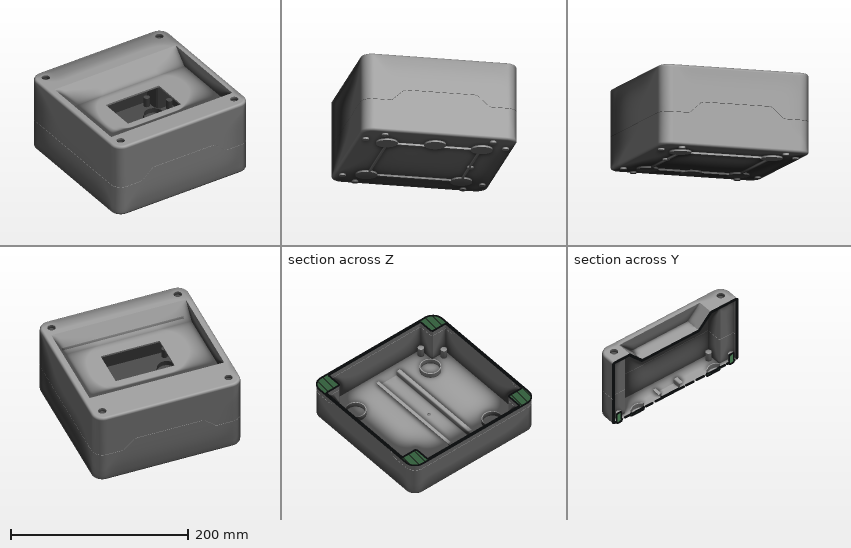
import cadquery as cq
import math

side = 180.0
height = 92.5
corner_radius = 13.3
edge_radius = 3.0
wall = 2.7
floor_thickness = 1.8
plate_thickness = 2.2
inner_half = side / 2 - wall
inner_corner_radius = corner_radius - wall

joint_height = 37.8
joint_gap = 0.4
bump_rise = 13.1
bump_foot = 58.9
low_bend_radius = 6.3
high_bend_radius = 7.5
bend_angle = math.radians(42)

screw_place = side / 2 - corner_radius
screw_hole_diameter = 9.4
screw_hole_depth = 4.5
boss_width = 20.2
boss_chamfer = 1.5

center_x = 7.0
recess_depth = 18.2
recess_slope_run = 17.6
recess_floor_width = 80.6
recess_length = 163.5
window_width = 45.5
window_length = 71.6
groove_length = 147.6
groove_width = 1.8
groove_offset = 3.8
groove_depth = 2.9

post_radius = 3.6
post_height = 11.3
post_near = 62.3
post_far = 80.6
ring_place = 54.7
ring_radius = 12.2
ring_wall = 1.0
ring_height = 6.1

pad_height = 2.2
ring_pad_radius = 12.5
side_pad_x = -59.8
small_pad_radius = 3.8
rib_width = 2.2

rail_width = 35.0
rail_web_width = 27.0
rail_height = 7.5
rail_sheet = 1.0
rail_bend_radius = 0.8
rail_length = 144.0
rail_hole_diameter = 4.3


def box(x_size, y_size, z_low, z_high, x=0.0, y=0.0):
    block = cq.Workplane("XY").box(x_size, y_size, z_high - z_low, centered=(True, True, False))
    return block.translate((x, y, z_low))


def cylinders(points, radius, z_low, z_high):
    plane = cq.Workplane("XY", origin=(0, 0, z_low))
    return plane.pushPoints(points).circle(radius).extrude(z_high - z_low)


def four_corners(x, y):
    return [(sx * x, sy * y) for sx in (-1, 1) for sy in (-1, 1)]


def outer_block():
    block = box(side, side, 0, height).edges("|Z").fillet(corner_radius)
    return block.faces("<Z or >Z").edges().fillet(edge_radius)


def cavity():
    hollow = box(2 * inner_half, 2 * inner_half, floor_thickness, height - plate_thickness)
    return hollow.edges("|Z").fillet(inner_corner_radius)


def bend_point(radius, angle):
    """Distance along and across after turning through the angle."""
    return radius * math.sin(angle), radius * (1 - math.cos(angle))


def below_joint(level):
    """Everything under the joint line, whose straight ends lie at the given height."""
    low_run, low_rise = bend_point(low_bend_radius, bend_angle)
    low_mid_run, low_mid_rise = bend_point(low_bend_radius, bend_angle / 2)
    high_run, high_drop = bend_point(high_bend_radius, bend_angle)
    high_mid_run, high_mid_drop = bend_point(high_bend_radius, bend_angle / 2)
    slope_run = (bump_rise - low_rise - high_drop) / math.tan(bend_angle)
    bump_head = bump_foot - low_run - slope_run - high_run
    top = level + bump_rise
    high_middle = (bump_head + high_mid_run, top - high_mid_drop)
    high_end = (bump_head + high_run, top - high_drop)
    low_middle = (bump_foot - low_mid_run, level + low_mid_rise)
    half_profile = (
        cq.Workplane("YZ", origin=(-side, 0, 0))
        .moveTo(0, -side)
        .lineTo(0, top)
        .lineTo(bump_head, top)
        .threePointArc(high_middle, high_end)
        .lineTo(bump_foot - low_run, level + low_rise)
        .threePointArc(low_middle, (bump_foot, level))
        .lineTo(side, level)
        .lineTo(side, -side)
        .close()
    )
    half = half_profile.extrude(2 * side)
    return half.union(half.mirror("XZ"))


def corner_bosses():
    """Square columns from the floor to the top plate, one in each inner corner."""
    middle = inner_half - boss_width / 2
    columns = None
    for turn in range(4):
        column = box(boss_width, boss_width, floor_thickness, height - plate_thickness, middle, middle)
        column = column.edges("|Z and <X and <Y").chamfer(boss_chamfer)
        column = column.rotate((0, 0, 0), (0, 0, 1), 90 * turn)
        columns = column if columns is None else columns.union(column)
    return columns.intersect(outer_block())


def shell():
    return outer_block().cut(cavity()).union(corner_bosses())


def recess(grow):
    """Recess with sloping X sides, made larger all round by the given skin thickness."""
    floor_z = height - recess_depth - grow
    slope_angle = math.atan2(recess_depth, recess_slope_run)
    low_half = recess_floor_width / 2 + grow * math.tan(slope_angle / 2)
    high_half = low_half + (recess_depth + grow) / math.tan(slope_angle)
    length = recess_length + 2 * grow
    profile = cq.Workplane("XZ", origin=(center_x, length / 2, 0)).polyline(
        [(-low_half, floor_z), (low_half, floor_z), (high_half, height), (-high_half, height)]
    )
    return profile.close().extrude(length)


def slope_groove():
    """Long V groove in the +X slope of the recess, with a vertical lower side."""
    steepness = recess_depth / recess_slope_run
    x_low = center_x + recess_floor_width / 2 + groove_offset
    z_low = height - recess_depth + groove_offset * steepness
    mouth_top = (x_low + groove_width, z_low + groove_width * steepness)
    profile = cq.Workplane("XZ", origin=(0, groove_length / 2, 0)).polyline(
        [(x_low, z_low), (x_low, z_low - groove_depth), mouth_top]
    )
    return profile.close().extrude(groove_length)


def make_lid():
    lid = shell().cut(below_joint(joint_height + joint_gap / 2))
    skin = recess(plate_thickness).intersect(outer_block())
    lid = lid.union(skin).cut(recess(0))
    lid = lid.cut(box(window_width, window_length, 0, height, center_x))
    lid = lid.cut(slope_groove())
    screw_points = four_corners(screw_place, screw_place)
    return lid.cut(cylinders(screw_points, screw_hole_diameter / 2, height - screw_hole_depth, height))


def post_places():
    return four_corners(post_near, post_far) + four_corners(post_far, post_near)


def floor_fittings():
    """Posts beside the bosses and low rings on the base floor."""
    posts = cylinders(post_places(), post_radius, floor_thickness, floor_thickness + post_height)
    ring_points = four_corners(ring_place, ring_place)
    ring_top = floor_thickness + ring_height
    rings = cylinders(ring_points, ring_radius, floor_thickness, ring_top)
    rings = rings.cut(cylinders(ring_points, ring_radius - ring_wall, floor_thickness, ring_top))
    return posts.union(rings)


def under_pads():
    """Round pads under the posts and rings, joined by a square frame of ribs."""
    large_points = four_corners(ring_place, ring_place) + [(side_pad_x, 0)]
    small_points = post_places() + [(center_x, -ring_place)]
    frame = box(2 * ring_place, 2 * ring_place, -pad_height, 0)
    opening = 2 * (ring_place - rib_width)
    frame = frame.cut(box(opening, opening, -pad_height, 0))
    large_pads = cylinders(large_points, ring_pad_radius, -pad_height, 0)
    return frame.union(large_pads).union(cylinders(small_points, small_pad_radius, -pad_height, 0))


def make_base():
    base = shell().intersect(below_joint(joint_height - joint_gap / 2))
    return base.union(floor_fittings()).union(under_pads())


def rail_bends(rail, half_width, z):
    """Edges along the rail at height z, no farther than half_width from its middle."""
    reach = rail_sheet / 4
    low_corner = (-half_width, -rail_length, z - reach)
    high_corner = (half_width, rail_length, z + reach)
    return rail.edges(cq.selectors.BoxSelector(low_corner, high_corner)).edges("|Y")


def make_rail():
    """Top-hat rail along Y, resting on the base floor, with rounded bends."""
    outer_bend = rail_bend_radius + rail_sheet
    inside_flanges = (rail_width + rail_web_width) / 4
    flange_bottom = rail_height - rail_sheet
    channel = box(rail_web_width, rail_length, 0, rail_height)
    channel = channel.edges("|Y and <Z").fillet(outer_bend)
    rail = channel.union(box(rail_width, rail_length, flange_bottom, rail_height))
    rail = rail_bends(rail, inside_flanges, flange_bottom).fillet(rail_bend_radius)
    trough = box(rail_web_width - 2 * rail_sheet, rail_length, rail_sheet, rail_height)
    rail = rail.cut(trough.edges("|Y and <Z").fillet(rail_bend_radius))
    rail = rail_bends(rail, inside_flanges, rail_height).fillet(outer_bend)
    rail = rail.cut(cylinders([(0, 0)], rail_hole_diameter / 2, 0, rail_sheet))
    return rail.translate((center_x, 0, floor_thickness))


base = make_base()
lid = make_lid()
rail = make_rail()
result = cq.Compound.makeCompound([base.val(), lid.val(), rail.val()])